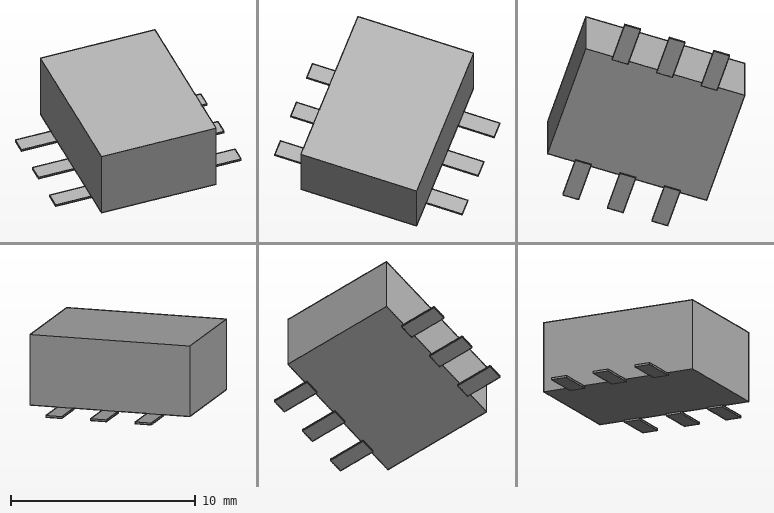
import cadquery as cq

overall_span = 10.82
overall_height = 4.05

lead_length = 2.21
lead_width = 0.91
lead_thickness = 0.11
lead_pitch = 2.54
leads_per_side = 3

housing_length = 9.09
housing_width = 6.69
housing_height = overall_height - lead_thickness


def make_housing():
    """Plain block resting on top of the leads, whose undersides lie at Z = 0."""
    return (
        cq.Workplane("XY")
        .workplane(offset=lead_thickness)
        .rect(housing_length, housing_width)
        .extrude(housing_height)
    )


def make_lead(x, side):
    """Flat lead centred on x, reaching outward in the Y direction given by side (+1 or -1)."""
    center_y = side * (overall_span - lead_length) / 2
    return (
        cq.Workplane("XY")
        .center(x, center_y)
        .rect(lead_width, lead_length)
        .extrude(lead_thickness)
    )


housing = make_housing()

leads = []
for side in (-1, 1):
    for index in range(leads_per_side):
        lead_x = (index - (leads_per_side - 1) / 2) * lead_pitch
        leads.append(make_lead(lead_x, side).val())

result = cq.Compound.makeCompound([housing.val(), *leads])